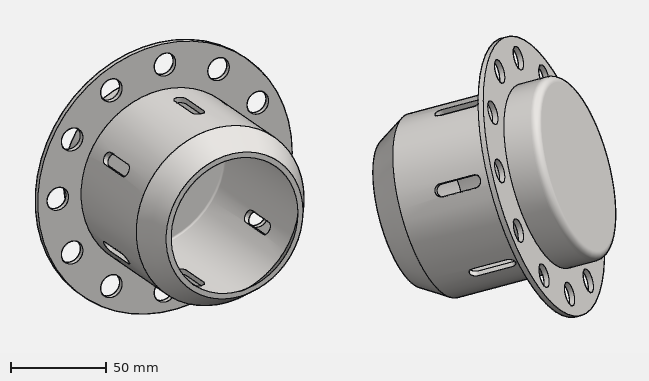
import cadquery as cq

length = 100.0
body_radius = 50.0
wall = 3.0
edge_radius = 4.1
taper_start = 84.1
mouth_radius = 40.8

flange_radius = 75.8
flange_start = 19.8
flange_thickness = 3.0
hole_count = 12
hole_diameter = 12.7
hole_circle_radius = 63.8

slot_count = 6
slot_start = 36.5
slot_length = 26.2
slot_width = 7.0


def make_outer_cup():
    """Solid of revolution about X, with the closed end rounded."""
    profile = (
        cq.Workplane("XY")
        .lineTo(0, body_radius - edge_radius)
        .radiusArc((edge_radius, body_radius), edge_radius)
        .lineTo(taper_start, body_radius)
        .lineTo(length, mouth_radius)
        .lineTo(length, 0)
        .close()
    )
    return profile.revolve(360, (0, 0, 0), (1, 0, 0))


def make_cavity():
    """Inside of the cup, one wall thickness in from the outside."""
    inner_radius = body_radius - wall
    inner_edge_radius = edge_radius - wall
    profile = (
        cq.Workplane("XY")
        .moveTo(wall, 0)
        .lineTo(wall, inner_radius - inner_edge_radius)
        .radiusArc((edge_radius, inner_radius), inner_edge_radius)
        .lineTo(taper_start, inner_radius)
        .lineTo(length, mouth_radius - wall)
        .lineTo(length, 0)
        .close()
    )
    return profile.revolve(360, (0, 0, 0), (1, 0, 0))


def make_flange():
    """Flat disc with a circle of bolt holes."""
    disc = cq.Workplane("YZ", origin=(flange_start, 0, 0)).circle(flange_radius).extrude(flange_thickness)
    return (
        disc.faces(">X")
        .workplane()
        .polarArray(hole_circle_radius, 0, 360, hole_count)
        .hole(hole_diameter)
    )


def make_slot_cutter(angle):
    """Round-ended radial cutter, turned about X from the +Z direction."""
    return (
        cq.Workplane("XY")
        .center(slot_start + slot_length / 2, 0)
        .slot2D(slot_length, slot_width)
        .extrude(flange_radius)
        .rotate((0, 0, 0), (1, 0, 0), angle)
    )


result = make_outer_cup().union(make_flange()).cut(make_cavity())
for index in range(slot_count):
    result = result.cut(make_slot_cutter(index * 360 / slot_count))